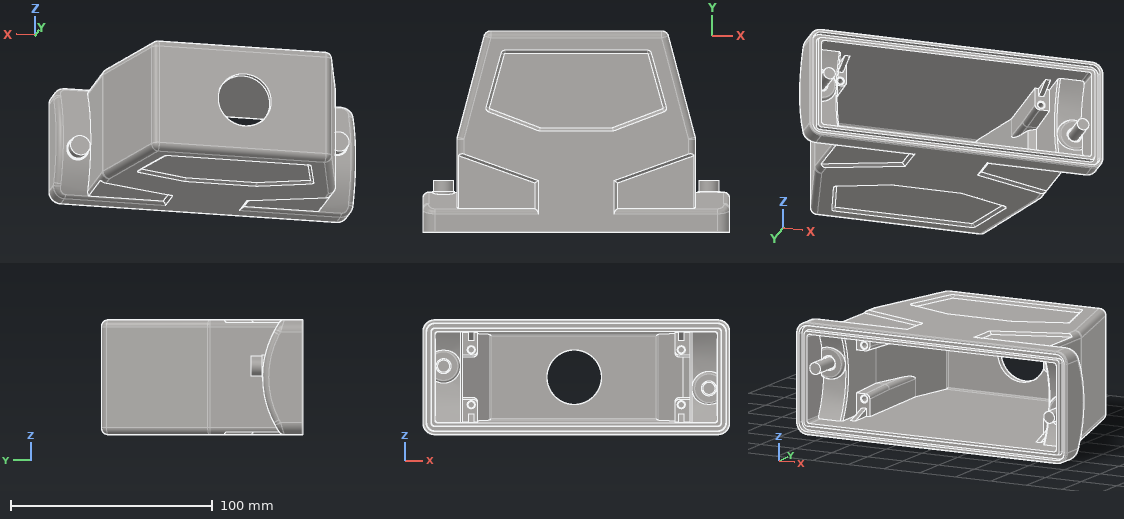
import cadquery as cq
import math

rim_length = 152.0
rim_height = 57.0
hood_depth = 100.0
rim_corner_radius = 6.0
rim_edge_round = 0.5
half_height = rim_height / 2

body_half_width = 59.1
back_half_width = 45.0
knee_y = 46.8
knee_round = 4.0
body_edge_round = 3.5

flange_apex_y = 20.1
flange_arc_radius = 48.8
flange_arc_center_y = flange_apex_y - flange_arc_radius
flange_edge_round = 3.0
flange_wall = 3.0

opening_half_width = 70.0
opening_half_height = 22.6
opening_corner_radius = 1.5
back_wall = 3.5
cavity_back_y = hood_depth - back_wall
cavity_draft = 0.8
cavity_half_width = 56.3
cavity_back_left_x = -42.8
cavity_back_right_x = 40.2
cavity_back_round = 0.8
cavity_mouth_chamfer = 1.0
right_step_outer_y = 48.5
right_step_inner_x = 52.8
right_step_inner_y = 51.5

cable_hole_diameter = 26.9
cable_hole_x = -1.0

groove_outer_inset = 1.6
groove_inner_inset = 4.4
groove_draft = 8.0
groove_depth = 4.5
gasket_thickness = 2.0

panel_depth = 1.4
panel_draft = 50.0
label_corner_round = 2.0
label_top_y = 90.4
label_top_half_width = 36.8
label_side_y = 60.5
label_side_half_width = 45.1
label_bottom_y = 50.3
label_bottom_half_width = 18.2
side_panel_inner_x = 18.8
side_panel_inner_top_y = 25.8
side_panel_outer_top_y = 40.2

post_inner_x = 48.8
post_front_y = 26.4
post_front_z = 10.9
post_draft = 2.5
post_draft_end_y = knee_y
post_corner_round = 2.4
post_hole_x = 52.0
post_hole_z = 13.6
post_hole_diameter = 3.2
post_hole_chamfer = 0.4
post_hole_depth = 12.0
rib_width = 2.6
rib_height = 4.4
rib_tip_y = 14.2

peg_x = 65.7
peg_z = 5.5
peg_diameter = 10.0
peg_end_y = 25.9
peg_collar_diameter = 11.0
peg_collar_end_y = 20.3
pin_diameter = 6.0
pin_tip_y = 0.5
boss_diameter = 16.8
boss_round = 1.3
boss_front_y = 14.8
boss_recess_diameter = 7.4
boss_recess_depth = 1.0

overshoot = 1.0


def plane_at(y):
    """Plane normal to +Y, with X as its first direction."""
    return cq.Plane(origin=(0, y, 0), xDir=(1, 0, 0), normal=(0, 1, 0))


def rounded_block(length, height, radius, y_start, y_end):
    block = cq.Workplane(plane_at(y_start)).rect(length, height).extrude(y_end - y_start)
    return block.edges("|Y").fillet(radius)


def tapered_block(length, height, radius, y_start, y_end, draft):
    """Rounded block that narrows toward +Y (or widens, for a negative draft)."""
    outline = cq.Sketch().rect(length, height).vertices().fillet(radius)
    return cq.Workplane(plane_at(y_start)).placeSketch(outline).extrude(y_end - y_start, taper=draft)


def cylinder(x, z, diameter, y_start, y_end):
    axis_start = cq.Vector(x, y_start, z)
    return cq.Workplane(cq.Solid.makeCylinder(diameter / 2, y_end - y_start, axis_start, cq.Vector(0, 1, 0)))


def arc_cylinder(radius, half_length):
    """Cylinder along X whose front-to-back crown shapes the flange."""
    start = cq.Vector(-half_length, flange_arc_center_y, 0)
    return cq.Workplane(cq.Solid.makeCylinder(radius, 2 * half_length, start, cq.Vector(1, 0, 0)))


def make_body():
    outline = [
        (-body_half_width, rim_edge_round),
        (body_half_width, rim_edge_round),
        (body_half_width, knee_y),
        (back_half_width, hood_depth),
        (-back_half_width, hood_depth),
        (-body_half_width, knee_y),
    ]
    body = cq.Workplane("XY").polyline(outline).close().extrude(half_height, both=True)
    knees = cq.selectors.BoxSelector(
        (-rim_length, knee_y - overshoot, -overshoot), (rim_length, knee_y + overshoot, overshoot))
    body = body.edges(knees).fillet(knee_round)
    rounded = body.faces("<Z or >Z or >Y").edges().edges("not <Y")
    return rounded.fillet(body_edge_round)


def recess(points, corner_round):
    """Sloped-wall recess cutter, sunk into the upper broad face."""
    sketch = cq.Sketch().polygon(points + points[:1])
    if corner_round:
        sketch = sketch.vertices().fillet(corner_round)
    return (cq.Workplane("XY").workplane(offset=half_height)
            .placeSketch(sketch).extrude(-panel_depth, taper=panel_draft))


def make_recesses():
    label = recess(
        [(-label_top_half_width, label_top_y), (label_top_half_width, label_top_y),
         (label_side_half_width, label_side_y), (label_bottom_half_width, label_bottom_y),
         (-label_bottom_half_width, label_bottom_y), (-label_side_half_width, label_side_y)],
        label_corner_round)
    slope = (side_panel_outer_top_y - side_panel_inner_top_y) / (body_half_width - side_panel_inner_x)
    outer_x = rim_length / 2
    outer_top_y = side_panel_inner_top_y + slope * (outer_x - side_panel_inner_x)
    side = recess(
        [(side_panel_inner_x, 0), (outer_x, 0), (outer_x, outer_top_y),
         (side_panel_inner_x, side_panel_inner_top_y)], 0)
    upper = [label, side, side.mirror("YZ")]
    return upper + [cutter.mirror("XY") for cutter in upper]


def make_flange():
    block = rounded_block(rim_length, rim_height, rim_corner_radius, 0, hood_depth / 2)
    flange = block.intersect(arc_cylinder(flange_arc_radius, rim_length))
    flange = flange.faces(">Y").edges().fillet(flange_edge_round)
    return flange.faces("<Y").edges().fillet(rim_edge_round)


def make_opening():
    """Space bounded by the rim opening and the slightly drafted broad walls."""
    return tapered_block(2 * opening_half_width, 2 * opening_half_height, opening_corner_radius,
                         0, cavity_back_y, cavity_draft)


def make_body_cavity():
    outline = [
        (-cavity_half_width, -overshoot),
        (cavity_half_width, -overshoot),
        (cavity_half_width, right_step_outer_y),
        (right_step_inner_x, right_step_inner_y),
        (cavity_back_right_x, cavity_back_y),
        (cavity_back_left_x, cavity_back_y),
        (-cavity_half_width, knee_y),
    ]
    plan = cq.Workplane("XY").polyline(outline).close().extrude(half_height, both=True)
    return plan.intersect(make_opening()).faces(">Y").edges().fillet(cavity_back_round)


def make_flange_pocket():
    return make_opening().intersect(arc_cylinder(flange_arc_radius - flange_wall, rim_length))


def make_mouth_chamfer():
    """Bevel where the body cavity opens into the flange pocket."""
    pocket_radius = flange_arc_radius - flange_wall
    outer_radius = pocket_radius + cavity_mouth_chamfer
    start_x = cavity_half_width - overshoot
    end_x = cavity_half_width + cavity_mouth_chamfer
    half = (cq.Workplane("XY", origin=(0, flange_arc_center_y, 0))
            .polyline([(start_x, 0), (end_x, 0), (end_x, pocket_radius),
                       (cavity_half_width, outer_radius), (start_x, outer_radius)])
            .close().revolve(360, (0, 0, 0), (1, 0, 0)))
    return half.union(half.mirror("YZ")).intersect(make_opening())


def make_post():
    """Screw post and rib in the +X, +Z corner; its front face is drilled."""
    draft_length = post_draft_end_y - post_front_y
    back_z = post_front_z - draft_length * math.tan(math.radians(post_draft))
    post = (cq.Workplane("YZ", origin=(post_inner_x, 0, 0))
            .polyline([(post_front_y, post_front_z), (post_front_y, half_height),
                       (cavity_back_y, half_height), (cavity_back_y, back_z),
                       (post_draft_end_y, back_z)])
            .close().extrude(body_half_width - post_inner_x))
    inner_corner = cq.selectors.BoxSelector(
        (post_inner_x - overshoot, post_front_y, back_z - overshoot),
        (post_inner_x + overshoot, cavity_back_y, post_front_z + overshoot))
    post = post.edges(inner_corner).fillet(post_corner_round)
    hole = cylinder(post_hole_x, post_hole_z, post_hole_diameter,
                    post_front_y, post_front_y + post_hole_depth)
    post = post.cut(hole)
    mouth_edges = post.faces("<Y").edges(cq.selectors.BoxSelector(
        (post_hole_x - overshoot, post_front_y - overshoot, post_hole_z - overshoot),
        (post_hole_x + overshoot, post_front_y + overshoot, post_hole_z + overshoot)))
    post = mouth_edges.chamfer(post_hole_chamfer)
    rib = (cq.Workplane("YZ", origin=(post_hole_x - rib_width / 2, 0, 0))
           .polyline([(post_front_y, opening_half_height - rib_height), (rib_tip_y, opening_half_height),
                      (post_front_y, opening_half_height)])
           .close().extrude(rib_width))
    return post.union(rib)


def make_cavity():
    cavity = make_body_cavity()
    post = make_post()
    for corner in (post, post.mirror("YZ")):
        cavity = cavity.cut(corner).cut(corner.mirror("XY"))
    return cavity


def make_groove():
    outer = tapered_block(rim_length - 2 * groove_outer_inset, rim_height - 2 * groove_outer_inset,
                          rim_corner_radius - groove_outer_inset, 0, groove_depth, groove_draft)
    inner = tapered_block(rim_length - 2 * groove_inner_inset, rim_height - 2 * groove_inner_inset,
                          rim_corner_radius - groove_inner_inset, 0, groove_depth, -groove_draft)
    return outer.cut(inner)


def make_gasket():
    """Seal that fills the bottom of the groove."""
    bottom = rounded_block(rim_length, rim_height, rim_corner_radius,
                           groove_depth - gasket_thickness, groove_depth)
    return make_groove().intersect(bottom)


def add_peg(housing, x, z):
    boss = cylinder(x, z, boss_diameter, boss_front_y, flange_apex_y - flange_wall)
    boss = boss.faces("<Y").edges().fillet(boss_round)
    boss = boss.cut(cylinder(x, z, boss_recess_diameter, boss_front_y, boss_front_y + boss_recess_depth))
    return (housing.union(boss)
            .union(cylinder(x, z, peg_collar_diameter, boss_front_y + boss_recess_depth, peg_collar_end_y))
            .union(cylinder(x, z, peg_diameter, peg_collar_end_y, peg_end_y))
            .union(cylinder(x, z, pin_diameter, pin_tip_y, peg_collar_end_y)))


def make_housing():
    housing = make_body()
    for cutter in make_recesses():
        housing = housing.cut(cutter)
    housing = housing.union(make_flange())
    housing = housing.cut(make_flange_pocket()).cut(make_cavity()).cut(make_mouth_chamfer())
    housing = housing.cut(cylinder(cable_hole_x, 0, cable_hole_diameter,
                                   cavity_back_y - overshoot, hood_depth + overshoot))
    housing = add_peg(housing, -peg_x, peg_z)
    housing = add_peg(housing, peg_x, -peg_z)
    return housing.cut(make_groove())


housing = make_housing()
gasket = make_gasket()

result = cq.Compound.makeCompound([housing.val(), gasket.val()])